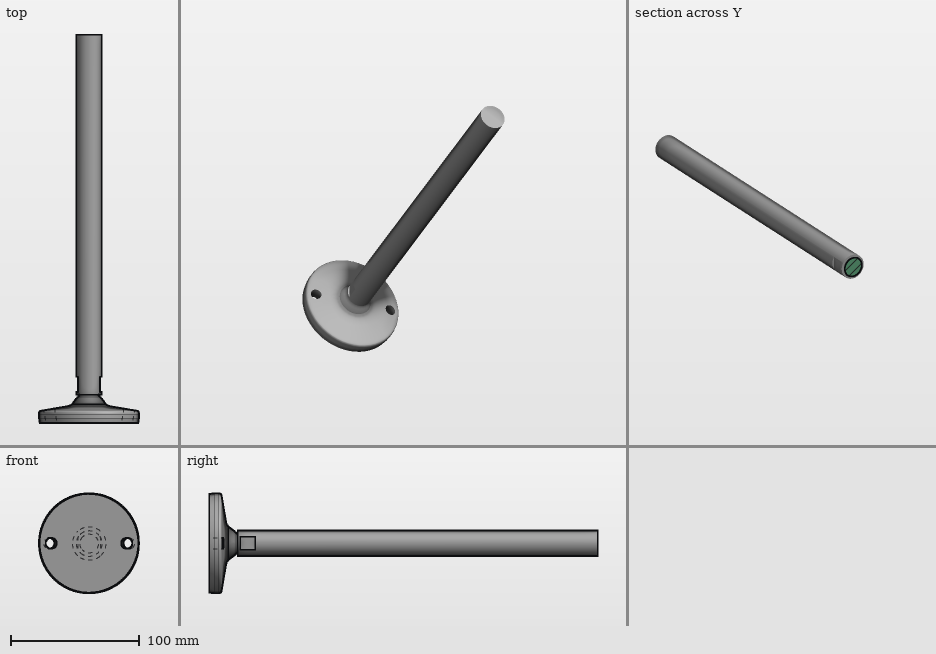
import cadquery as cq
import math

TOTAL_LENGTH = 302.0

FOOT_RADIUS = 78.0 / 2
BASE_RADIUS = 38.5
BASE_HEIGHT = 4.0
RIM_HEIGHT = 7.0
SHOULDER_RADIUS = 37.0
SHOULDER_HEIGHT = 9.7
SLOPE_END_RADIUS = 19.0
SLOPE_END_HEIGHT = 12.7
BOSS_FOOT_RADIUS = 13.0
BOSS_FOOT_HEIGHT = 14.8
BOSS_MIDDLE_RADIUS = 11.2
BOSS_MIDDLE_HEIGHT = 17.5
BOSS_TOP_RADIUS = 8.5
BOSS_TOP_HEIGHT = 20.5
TIP_RADIUS = 7.2
TIP_HEIGHT = 22.0

HOLE_DIAMETER = 8.5
HOLE_OFFSET = 29.3
SLOPE_ANGLE = math.atan2(SLOPE_END_HEIGHT - SHOULDER_HEIGHT, SHOULDER_RADIUS - SLOPE_END_RADIUS)
HOLE_CUT_LENGTH = 4 * SHOULDER_HEIGHT

STEM_RADIUS = 20.0 / 2
STEM_START = TIP_HEIGHT
FLAT_HALF_WIDTH = 17.2 / 2
FLAT_START = 24.2
FLAT_LENGTH = 11.8


def make_screw_hole(side):
    """Tilted cutter centred on the base plane; side is -1 or 1 along X."""
    direction = cq.Vector(side * math.sin(SLOPE_ANGLE), math.cos(SLOPE_ANGLE), 0)
    centre = cq.Vector(side * HOLE_OFFSET, 0, 0)
    start = centre - direction * (HOLE_CUT_LENGTH / 2)
    return cq.Solid.makeCylinder(HOLE_DIAMETER / 2, HOLE_CUT_LENGTH, start, direction)


def make_foot():
    """Round foot with a tapered base edge, sloping top and rounded boss, tapered at its tip."""
    shoulder = (SHOULDER_RADIUS, SHOULDER_HEIGHT)
    slope_end = (SLOPE_END_RADIUS, SLOPE_END_HEIGHT)
    boss_foot = (BOSS_FOOT_RADIUS, BOSS_FOOT_HEIGHT)
    boss_middle = (BOSS_MIDDLE_RADIUS, BOSS_MIDDLE_HEIGHT)
    boss_top = (BOSS_TOP_RADIUS, BOSS_TOP_HEIGHT)
    slope_direction = (-math.cos(SLOPE_ANGLE), math.sin(SLOPE_ANGLE))
    foot = (
        cq.Workplane("XY")
        .lineTo(BASE_RADIUS, 0)
        .lineTo(FOOT_RADIUS, BASE_HEIGHT)
        .lineTo(FOOT_RADIUS, RIM_HEIGHT)
        .spline(
            [shoulder, slope_end, boss_foot],
            tangents=[(0, 1), slope_direction, slope_direction, (-1, 1)],
            includeCurrent=True,
        )
        .threePointArc(boss_middle, boss_top)
        .lineTo(TIP_RADIUS, TIP_HEIGHT)
        .lineTo(0, TIP_HEIGHT)
        .close()
        .revolve(360, (0, 0, 0), (0, 1, 0))
    )
    for side in (-1, 1):
        foot = foot.cut(cq.Workplane(make_screw_hole(side)))
    return foot


def make_stem():
    """Round stem resting on the foot, with two wrench flats."""
    stem = (
        cq.Workplane("XZ", origin=(0, STEM_START, 0))
        .circle(STEM_RADIUS)
        .extrude(-(TOTAL_LENGTH - STEM_START))
    )
    for side in (-1, 1):
        flat = cq.Workplane("XY").box(STEM_RADIUS, FLAT_LENGTH, 2 * STEM_RADIUS)
        flat_x = side * (FLAT_HALF_WIDTH + STEM_RADIUS / 2)
        stem = stem.cut(flat.translate((flat_x, FLAT_START + FLAT_LENGTH / 2, 0)))
    return stem


foot = make_foot()
stem = make_stem()
result = cq.Compound.makeCompound([foot.val(), stem.val()])